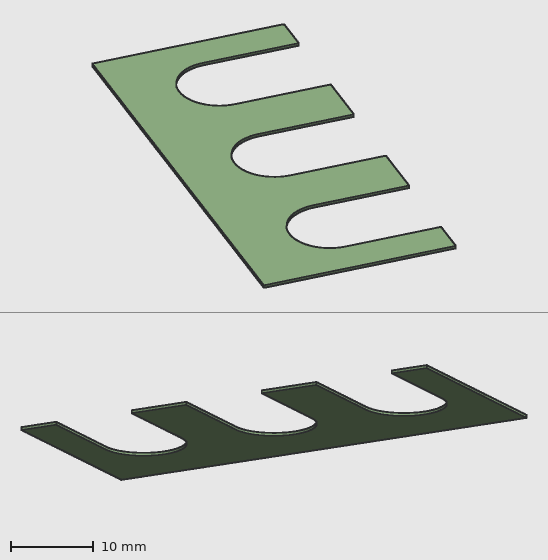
import cadquery as cq

length = 56.0
width = 25.0
thickness = 0.38

slot_count = 3
slot_pitch = 18.0
slot_width = 10.4
slot_depth = 17.65

slot_radius = slot_width / 2
open_edge_y = width / 2
slot_bottom_y = open_edge_y - slot_depth
arc_center_y = slot_bottom_y + slot_radius


def slot_cutter(center_x):
    """Full-thickness slot with a semicircular closed end."""
    left_x = center_x - slot_radius
    right_x = center_x + slot_radius
    return (
        cq.Workplane("XY")
        .moveTo(left_x, open_edge_y)
        .lineTo(left_x, arc_center_y)
        .threePointArc((center_x, slot_bottom_y), (right_x, arc_center_y))
        .lineTo(right_x, open_edge_y)
        .close()
        .extrude(thickness)
    )


result = cq.Workplane("XY").box(length, width, thickness, centered=(True, True, False))
for index in range(slot_count):
    slot_x = (index - (slot_count - 1) / 2) * slot_pitch
    result = result.cut(slot_cutter(slot_x))